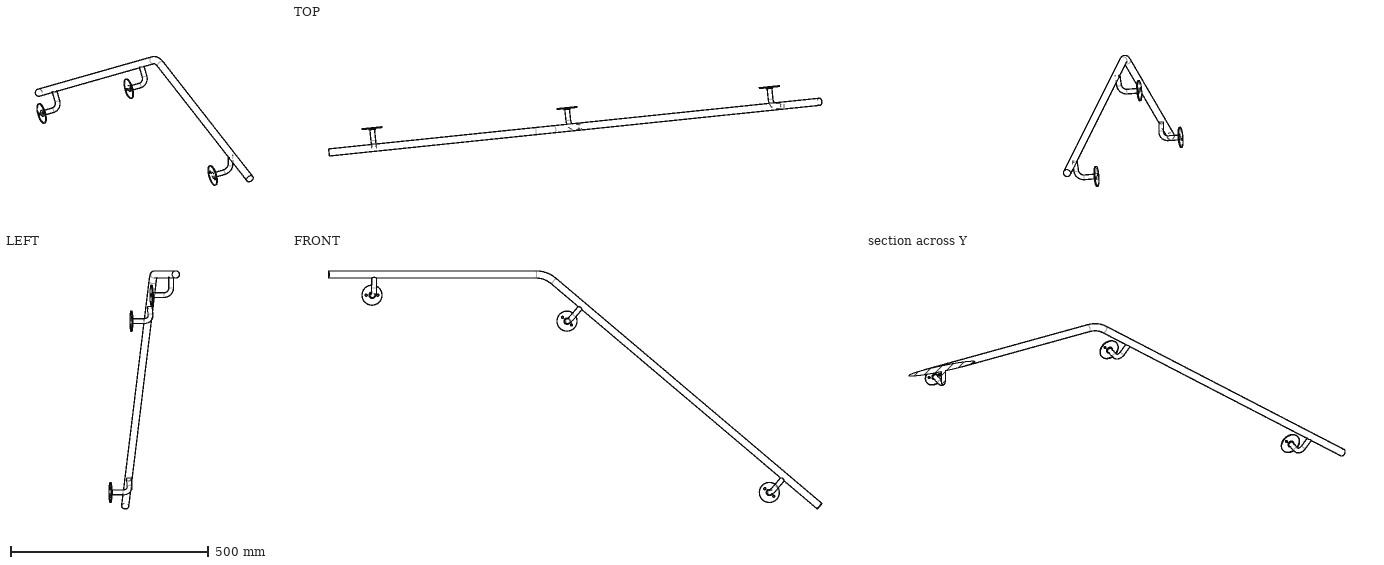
import cadquery as cq
import math

rail_diameter = 19.0
level_length = 527.0
slope_length = 886.0
slope_angle = 40.1
bend_radius = 69.0
yaw_angle = 5.9

arm_diameter = 12.0
post_drop = 52.0
wall_distance = 51.0
arm_bend_radius = 19.0
plate_diameter = 51.0
plate_thickness = 2.0
collar_diameter = 16.0
collar_thickness = 2.0
hole_diameter = 5.0
hole_spacing = 30.0
level_bracket_position = 115.0
slope_bracket_positions = (96.0, 770.0)

slope = math.radians(slope_angle)
bend_end = (
    level_length + bend_radius * math.sin(slope),
    -bend_radius * (1 - math.cos(slope)),
)


def point_on_slope(distance):
    """Return the (x, z) point at a distance down the sloping run."""
    return (
        bend_end[0] + distance * math.cos(slope),
        bend_end[1] - distance * math.sin(slope),
    )


def make_rail():
    path = (
        cq.Workplane("XZ")
        .lineTo(level_length, 0)
        .tangentArcPoint(bend_end, relative=False)
        .lineTo(*point_on_slope(slope_length))
    )
    return cq.Workplane("YZ").circle(rail_diameter / 2).sweep(path)


def wall_disc(diameter, thickness, wall_gap=0):
    """Return a disc centred on the arm axis, with its back set off the wall face."""
    return (
        cq.Workplane("XZ", origin=(0, wall_distance - wall_gap, -post_drop))
        .circle(diameter / 2)
        .extrude(thickness)
    )


def make_bracket():
    """Return a bracket whose post starts at the origin, on the rail axis."""
    path = (
        cq.Workplane("YZ")
        .lineTo(0, arm_bend_radius - post_drop)
        .tangentArcPoint((arm_bend_radius, -post_drop), relative=False)
        .lineTo(wall_distance - plate_thickness / 2, -post_drop)
    )
    arm = cq.Workplane("XY").circle(arm_diameter / 2).sweep(path)
    screw_holes = (
        cq.Workplane("XZ", origin=(0, wall_distance, -post_drop))
        .rarray(hole_spacing, 12, 2, 1)
        .circle(hole_diameter / 2)
        .extrude(plate_thickness)
    )
    plate = wall_disc(plate_diameter, plate_thickness).cut(screw_holes)
    collar = wall_disc(collar_diameter, collar_thickness, plate_thickness)
    return plate.union(collar).union(arm)


def place_bracket(point, tilt):
    """Tilt a bracket about Y and move it to an (x, z) point on the rail axis."""
    x, z = point
    return make_bracket().rotate((0, 0, 0), (0, 1, 0), tilt).translate((x, 0, z))


handrail = make_rail().union(place_bracket((level_bracket_position, 0), 0))
for position in slope_bracket_positions:
    handrail = handrail.union(place_bracket(point_on_slope(position), slope_angle))

result = handrail.rotate((0, 0, 0), (0, 0, 1), yaw_angle)